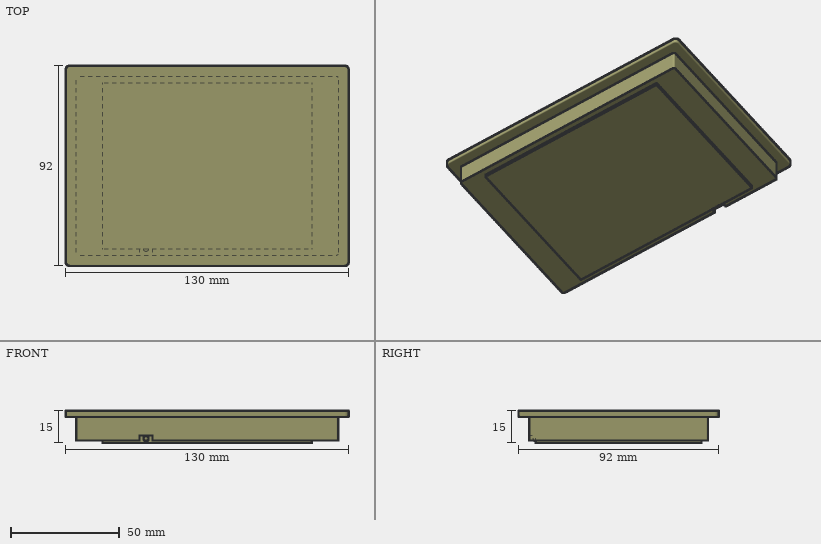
import cadquery as cq

panel_length = 130.0
panel_width = 92.0
total_height = 15.0

panel_thickness = 3.0
panel_corner_radius = 2.0
panel_edge_fillet = 0.5

housing_margin_x = 4.8
housing_margin_y = 5.0
housing_corner_radius = 0.9
housing_length = panel_length - 2 * housing_margin_x
housing_width = panel_width - 2 * housing_margin_y

pad_margin_x = 16.9
pad_margin_y = 7.9
pad_height = 1.2
pad_length = panel_length - 2 * pad_margin_x
pad_width = panel_width - 2 * pad_margin_y

notch_length = 6.1
notch_height = 2.3
notch_center_x = -28.1
notch_depth = pad_margin_y - housing_margin_y

dome_radius = 1.2
dome_height_above_housing_bottom = 0.9

housing_bottom = pad_height
panel_bottom = total_height - panel_thickness
housing_height = panel_bottom - housing_bottom
housing_front = -housing_width / 2
pad_front = -pad_width / 2


def block(length, width, height, bottom):
    """Plain block centred on the Z axis, standing on the given level."""
    return (
        cq.Workplane("XY")
        .workplane(offset=bottom)
        .rect(length, width)
        .extrude(height)
    )


def make_panel():
    """Front panel with rounded corners and rounded rims, front and back."""
    panel = block(panel_length, panel_width, panel_thickness, panel_bottom)
    panel = panel.edges("|Z").fillet(panel_corner_radius)
    return panel.faces("<Z or >Z").edges().fillet(panel_edge_fillet)


def make_notch():
    """Volume removed from the lower front edge of the housing."""
    return (
        cq.Workplane("XY")
        .box(notch_length, notch_depth, notch_height, centered=(True, False, False))
        .translate((notch_center_x, housing_front, housing_bottom))
    )


def make_dome():
    """Ball centred on the back wall of the notch; its front half stands clear of the wall."""
    dome_center_z = housing_bottom + dome_height_above_housing_bottom
    dome_center = (notch_center_x, pad_front, dome_center_z)
    return cq.Workplane("XY").sphere(dome_radius).translate(dome_center)


def make_housing():
    """Housing with its pad, its notch and the dome in the notch."""
    shell = block(housing_length, housing_width, housing_height, housing_bottom)
    shell = shell.edges("|Z").fillet(housing_corner_radius)
    pad = block(pad_length, pad_width, pad_height, 0)
    return shell.cut(make_notch()).union(pad).union(make_dome())


panel = make_panel()
housing = make_housing()

result = cq.Compound.makeCompound([panel.val(), housing.val()])